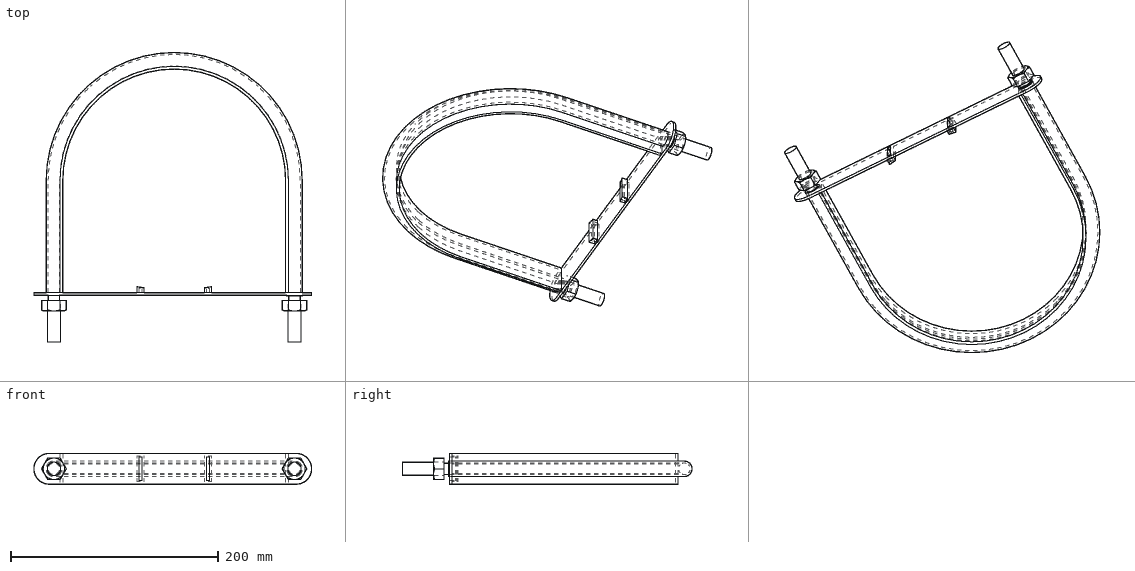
import cadquery as cq
import math

overall_length = 279.5
plate_width = 268.0
band_height = 30.0
leg_spacing = 232.0
leg_offset = leg_spacing / 2

thread_diameter = 12.9
rod_diameter = 11.2
sleeve_diameter = 15.0
sleeve_protrusion = 0.8
bend_center_y = overall_length - leg_offset - sleeve_diameter / 2

strip_thickness = 2.8
strip_offset = 6.0
strip_outer_radius = leg_offset - strip_offset
strip_inner_radius = strip_outer_radius - strip_thickness

nut_start_y = 30.2
nut_height = 10.0
nut_end_y = nut_start_y + nut_height
nut_across_flats = 20.7
nut_across_corners = nut_across_flats / math.cos(math.pi / 6)
nut_chamfer_angle = 30.0

plate_thickness = 2.5
plate_center_x = -1.5
plate_top_y = 47.8
plate_bottom_y = plate_top_y - plate_thickness
tab_inner_x = 29.0
tab_outer_x = 36.0
tab_high = 6.0
tab_low = 4.7
tab_height = 24.5
tab_roof = 1.5
slot_width = 2.8
slot_height = 22.4
slot_center_x = 32.5
slot_inner_x = slot_center_x - slot_width / 2
slot_outer_x = slot_center_x + slot_width / 2


def leg_cylinder(side, diameter, start_y, end_y):
    """Round bar along Y on the axis of one leg."""
    axis_start = cq.Workplane("XZ", origin=(side * leg_offset, start_y, 0))
    return axis_start.circle(diameter / 2).extrude(start_y - end_y)


def round_u(diameter, start_y):
    """U of round section with both legs starting at start_y."""
    bend = (
        cq.Workplane("XZ", origin=(0, bend_center_y, 0))
        .center(leg_offset, 0)
        .circle(diameter / 2)
        .revolve(180, (-leg_offset, 0), (-leg_offset, 1))
    )
    for side in (-1, 1):
        bend = bend.union(leg_cylinder(side, diameter, start_y, bend_center_y))
    return bend


def arched_block(radius, start_y, height):
    """Solid block with the inner outline of the U at the given radius."""
    return (
        cq.Workplane("XY", origin=(0, 0, -height / 2))
        .moveTo(-radius, start_y)
        .lineTo(-radius, bend_center_y)
        .threePointArc((0, bend_center_y + radius), (radius, bend_center_y))
        .lineTo(radius, start_y)
        .close()
        .extrude(height)
    )


def make_rod():
    """U-shaped rod with thicker threaded ends."""
    rod = round_u(rod_diameter, nut_end_y)
    for side in (-1, 1):
        rod = rod.union(leg_cylinder(side, thread_diameter, 0, nut_end_y))
    return rod


def make_sleeve():
    """Tube around the rod, flattened where it lies on the liner strip."""
    sleeve = round_u(sleeve_diameter, plate_bottom_y)
    sleeve = sleeve.cut(arched_block(strip_outer_radius, plate_top_y, band_height))
    end_y = plate_bottom_y - sleeve_protrusion
    sleeve = sleeve.union(leg_cylinder(1, sleeve_diameter, end_y, plate_top_y))
    return sleeve.cut(round_u(rod_diameter, end_y))


def make_strip():
    """Flat liner strip following the inside of the U."""
    outer = arched_block(strip_outer_radius, plate_top_y, band_height)
    return outer.cut(arched_block(strip_inner_radius, plate_top_y, band_height))


def tab_outline(side, inner_x, outer_x, base_y, roof_drop, height):
    """Block rising from base_y to the sloping tab roof, lowered by roof_drop."""
    slope = (tab_high - tab_low) / (tab_outer_x - tab_inner_x)
    low_y = plate_top_y + tab_low - roof_drop
    inner_y = low_y + slope * (inner_x - tab_inner_x)
    outer_y = low_y + slope * (outer_x - tab_inner_x)
    return (
        cq.Workplane("XY", origin=(0, 0, -height / 2))
        .moveTo(side * inner_x, base_y)
        .lineTo(side * inner_x, inner_y)
        .lineTo(side * outer_x, outer_y)
        .lineTo(side * outer_x, base_y)
        .close()
        .extrude(height)
    )


def make_plate():
    """Round-ended plate with sleeve holes and hollow tabs."""
    plate = (
        cq.Workplane("XZ", origin=(plate_center_x, plate_top_y, 0))
        .slot2D(plate_width, band_height)
        .extrude(plate_thickness)
    )
    for side in (-1, 1):
        plate = plate.cut(leg_cylinder(side, sleeve_diameter, plate_bottom_y, plate_top_y))
        tab = tab_outline(side, tab_inner_x, tab_outer_x, plate_top_y, 0, tab_height)
        slot = tab_outline(side, slot_inner_x, slot_outer_x, plate_bottom_y, tab_roof, slot_height)
        plate = plate.union(tab).cut(slot)
    return plate


def make_nut(side):
    """Hexagon nut whose corners are chamfered on the -Y end."""
    nut = (
        cq.Workplane("XZ", origin=(side * leg_offset, nut_end_y, 0))
        .polygon(6, nut_across_corners)
        .extrude(nut_height)
    )
    corner_radius = nut_across_corners / 2
    flat_radius = nut_across_flats / 2
    chamfer_depth = (corner_radius - flat_radius) * math.tan(math.radians(nut_chamfer_angle))
    chamfer_envelope = (
        cq.Workplane("XY", origin=(side * leg_offset, 0, 0))
        .moveTo(0, nut_start_y)
        .lineTo(flat_radius, nut_start_y)
        .lineTo(corner_radius, nut_start_y + chamfer_depth)
        .lineTo(corner_radius, nut_end_y)
        .lineTo(0, nut_end_y)
        .close()
        .revolve(360, (0, 0, 0), (0, 1, 0))
    )
    nut = nut.intersect(chamfer_envelope)
    return nut.cut(leg_cylinder(side, thread_diameter, nut_start_y, nut_end_y))


rod = make_rod()
sleeve = make_sleeve()
strip = make_strip()
plate = make_plate()
nuts = [make_nut(side) for side in (-1, 1)]

result = cq.Compound.makeCompound(
    [rod.val(), sleeve.val(), strip.val(), plate.val(), *[nut.val() for nut in nuts]]
)